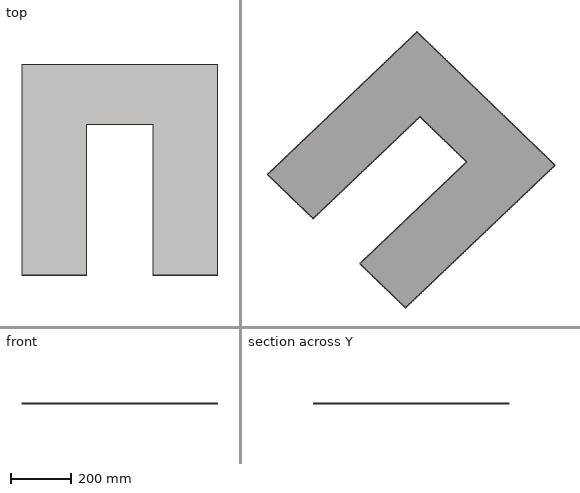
import cadquery as cq

width = 650.0
depth = 700.0
thickness = 3.0
slot_width = 220.0
back_width = 200.0

slot_depth = depth - back_width

plate = cq.Workplane("XY").box(width, depth, thickness)

slot_center_y = (slot_depth - depth) / 2
slot = (
    cq.Workplane("XY")
    .box(slot_width, slot_depth, thickness)
    .translate((0, slot_center_y, 0))
)

result = plate.cut(slot)